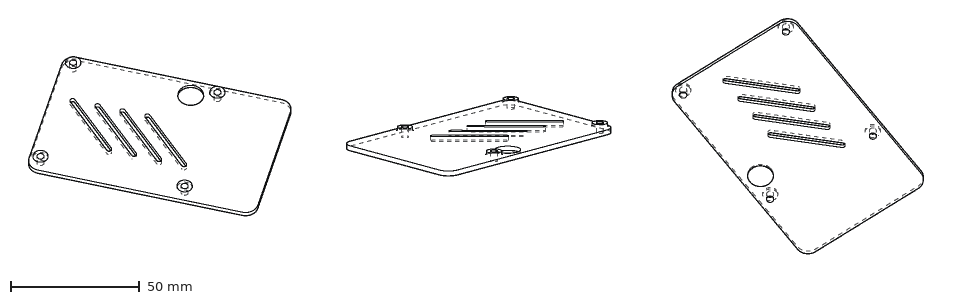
import cadquery as cq

LENGTH = 92.0
WIDTH = 59.0
THICKNESS = 2.0
CORNER_RADIUS = 5.0

TOTAL_HEIGHT = 4.0
STANDOFF_DIAMETER = 6.0
STANDOFF_FILLET = 1.0
SCREW_HOLE_DIAMETER = 2.8
STANDOFF_LEFT = 4.5
STANDOFF_BOTTOM = 5.4
STANDOFF_PITCH_X = 58.0
STANDOFF_PITCH_Y = 49.0

OPENING_DIAMETER = 10.0
OPENING_BOTTOM_ROUND = 1.0
OPENING_CENTER = (52.4, 51.9)

SLOT_COUNT = 4
SLOT_PITCH = 10.0
SLOT_LENGTH = 30.4
SLOT_WIDTH = 2.0
SLOT_ANGLE = -45.0
FIRST_SLOT_CENTER = (18.9, 27.4)

STANDOFF_CENTERS = [
    (STANDOFF_LEFT + column * STANDOFF_PITCH_X, STANDOFF_BOTTOM + row * STANDOFF_PITCH_Y)
    for column in range(2)
    for row in range(2)
]
SLOT_CENTERS = [
    (FIRST_SLOT_CENTER[0] + index * SLOT_PITCH, FIRST_SLOT_CENTER[1])
    for index in range(SLOT_COUNT)
]


def make_plate():
    plate = cq.Workplane("XY").box(LENGTH, WIDTH, THICKNESS, centered=False)
    return plate.edges("|Z").fillet(CORNER_RADIUS)


def make_opening():
    """Cutter for the large opening, with a rounded lip at its bottom edge."""
    radius = OPENING_DIAMETER / 2
    profile = (
        cq.Workplane("XZ")
        .lineTo(radius + OPENING_BOTTOM_ROUND, 0)
        .radiusArc((radius, OPENING_BOTTOM_ROUND), OPENING_BOTTOM_ROUND)
        .lineTo(radius, THICKNESS)
        .lineTo(0, THICKNESS)
        .close()
    )
    cutter = profile.revolve(360, (0, 0, 0), (0, 1, 0))
    return cutter.translate((*OPENING_CENTER, 0))


def make_standoffs():
    """Round posts with a concave flare where they meet the plate."""
    radius = STANDOFF_DIAMETER / 2
    flare_top = THICKNESS + STANDOFF_FILLET
    foot_radius = radius + STANDOFF_FILLET
    profile = (
        cq.Workplane("XZ")
        .lineTo(foot_radius, 0)
        .lineTo(foot_radius, THICKNESS)
        .radiusArc((radius, flare_top), STANDOFF_FILLET)
        .lineTo(radius, TOTAL_HEIGHT)
        .lineTo(0, TOTAL_HEIGHT)
        .close()
    )
    standoff = profile.revolve(360, (0, 0, 0), (0, 1, 0)).val()
    return cq.Workplane("XY").pushPoints(STANDOFF_CENTERS).eachpoint(standoff)


base = cq.Workplane("XY")
screw_holes = base.pushPoints(STANDOFF_CENTERS).circle(SCREW_HOLE_DIAMETER / 2).extrude(TOTAL_HEIGHT)
slots = base.pushPoints(SLOT_CENTERS).slot2D(SLOT_LENGTH, SLOT_WIDTH, SLOT_ANGLE).extrude(THICKNESS)

result = make_plate().union(make_standoffs()).cut(screw_holes).cut(make_opening()).cut(slots)